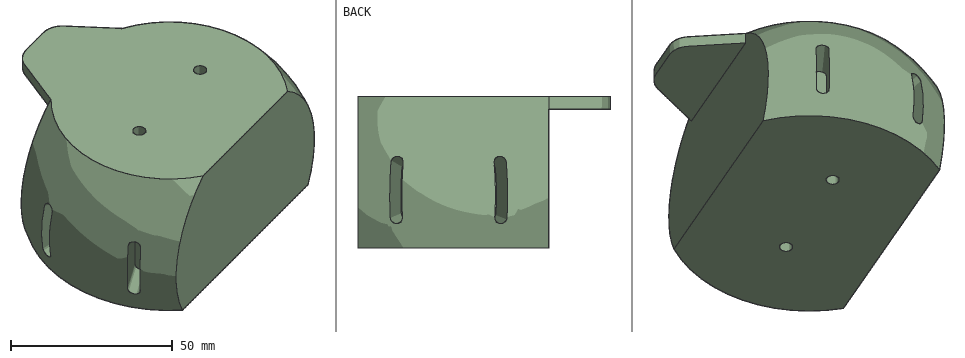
import cadquery as cq
import math

SPHERE_RADIUS = 47.8
TOP_Z = 30.7
HEIGHT = 47.0
FRONT_X = -31.0
BODY_LENGTH = 59.0

TOTAL_LENGTH = 78.0
TAB_THICKNESS = 4.0
TAB_SIDE_ANGLE = 30.0
TAB_CORNER_RADIUS = 7.0
TAB_BASE_WIDTH = 39.7
TAB_ROOT_OVERLAP = 1.0

HOLE_DIAMETER = 4.0
HOLE_SPACING = 34.05

SLOT_WIDTH = 4.0
SLOT_DEPTH = 10.0
SLOT_AZIMUTH = 20.0
SLOT_UPPER_ANGLE = 12.3
SLOT_LOWER_ANGLE = -8.0

BOTTOM_Z = TOP_Z - HEIGHT
BACK_X = FRONT_X + BODY_LENGTH
TAB_TIP_X = BACK_X - TOTAL_LENGTH


def make_dome():
    trim = (
        cq.Workplane("XY", origin=(FRONT_X, 0, BOTTOM_Z))
        .box(BODY_LENGTH, 2 * SPHERE_RADIUS, HEIGHT, centered=(False, True, False))
    )
    return cq.Workplane("XY").sphere(SPHERE_RADIUS).intersect(trim)


def make_tab():
    side_slope = math.tan(math.radians(TAB_SIDE_ANGLE))
    root_x = FRONT_X + TAB_ROOT_OVERLAP
    root_half_width = TAB_BASE_WIDTH / 2 + TAB_ROOT_OVERLAP * side_slope
    tip_half_width = TAB_BASE_WIDTH / 2 - (FRONT_X - TAB_TIP_X) * side_slope
    outline = [
        (root_x, -root_half_width),
        (root_x, root_half_width),
        (TAB_TIP_X, tip_half_width),
        (TAB_TIP_X, -tip_half_width),
    ]
    return (
        cq.Workplane("XY", origin=(0, 0, TOP_Z - TAB_THICKNESS))
        .polyline(outline)
        .close()
        .extrude(TAB_THICKNESS)
        .edges("|Z and <X")
        .fillet(TAB_CORNER_RADIUS)
    )


def make_holes():
    return (
        cq.Workplane("XY", origin=(0, 0, BOTTOM_Z))
        .pushPoints([(0, -HOLE_SPACING / 2), (0, HOLE_SPACING / 2)])
        .circle(HOLE_DIAMETER / 2)
        .extrude(HEIGHT)
    )


def radial_point(elevation, radius):
    angle = math.radians(elevation)
    return (radius * math.cos(angle), radius * math.sin(angle))


def make_slot_cutter():
    """Build a slot that opens along +X: a flat wedge between two radial round pins."""
    reach = SPHERE_RADIUS + SLOT_DEPTH
    wedge = (
        cq.Workplane("XZ")
        .lineTo(*radial_point(SLOT_LOWER_ANGLE, reach))
        .lineTo(*radial_point(SLOT_UPPER_ANGLE, reach))
        .close()
        .extrude(SLOT_WIDTH / 2, both=True)
    )
    pin = cq.Workplane("YZ").circle(SLOT_WIDTH / 2).extrude(reach)
    cutter = wedge
    for elevation in (SLOT_LOWER_ANGLE, SLOT_UPPER_ANGLE):
        cutter = cutter.union(pin.rotate((0, 0, 0), (0, 1, 0), -elevation))
    return cutter.cut(cq.Workplane("XY").sphere(SPHERE_RADIUS - SLOT_DEPTH))


result = make_dome().union(make_tab()).cut(make_holes())
slot_cutter = make_slot_cutter()
for side in (90, 270):
    for turn in (-SLOT_AZIMUTH, SLOT_AZIMUTH):
        result = result.cut(slot_cutter.rotate((0, 0, 0), (0, 0, 1), side + turn))